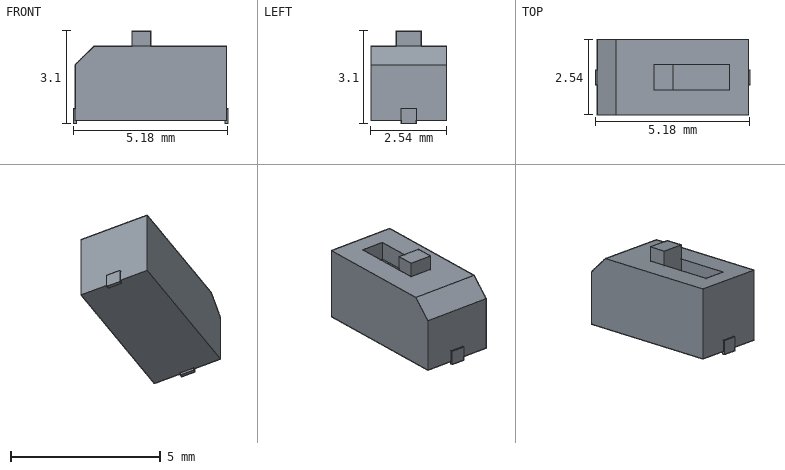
import cadquery as cq

overall_length = 5.18
terminal_proud = 0.05
housing_length = overall_length - 2 * terminal_proud
housing_width = housing_length / 2
housing_height = 2.495

slope_length = housing_length / 8
slope_height = 0.625

slot_length = housing_length / 2
slot_width = housing_width / 3
slot_center_x = housing_length / 8
slot_depth = 0.625
slot_start_x = slot_center_x - slot_length / 2
slot_floor_z = housing_height - slot_depth

slider_length = slot_length / 4
slider_proud = 0.5

terminal_thickness = 2 * terminal_proud
terminal_width = housing_width / 5
terminal_height = 0.5
terminal_drop = 0.1
terminal_center_x = housing_length / 2


def upright_box(length, width, height, center_x, bottom_z):
    """Box centred on Y = 0 and standing on the given level."""
    return (
        cq.Workplane("XY")
        .box(length, width, height, centered=(True, True, False))
        .translate((center_x, 0, bottom_z))
    )


def make_terminal(side):
    """Terminal at the -X end (side = -1) or the +X end (side = 1)."""
    return upright_box(
        terminal_thickness, terminal_width, terminal_height, side * terminal_center_x, -terminal_drop
    )


def make_slider():
    """Block that stands on the slot floor and rises above the housing."""
    return upright_box(
        slider_length,
        slot_width,
        slot_depth + slider_proud,
        slot_start_x + slider_length / 2,
        slot_floor_z,
    )


def make_housing(terminals):
    """Block with one sloped edge, a blind slot and a recess for each terminal."""
    end_x = housing_length / 2
    body = (
        cq.Workplane("XZ")
        .moveTo(-end_x, 0)
        .lineTo(end_x, 0)
        .lineTo(end_x, housing_height)
        .lineTo(-end_x + slope_length, housing_height)
        .lineTo(-end_x, housing_height - slope_height)
        .close()
        .extrude(housing_width / 2, both=True)
    )
    slot = upright_box(slot_length, slot_width, slot_depth, slot_center_x, slot_floor_z)
    body = body.cut(slot)
    for terminal in terminals:
        body = body.cut(terminal)
    return body


terminals = [make_terminal(side) for side in (-1, 1)]
slider = make_slider()
housing = make_housing(terminals)

result = cq.Compound.makeCompound(
    [housing.val(), slider.val(), *[terminal.val() for terminal in terminals]]
)